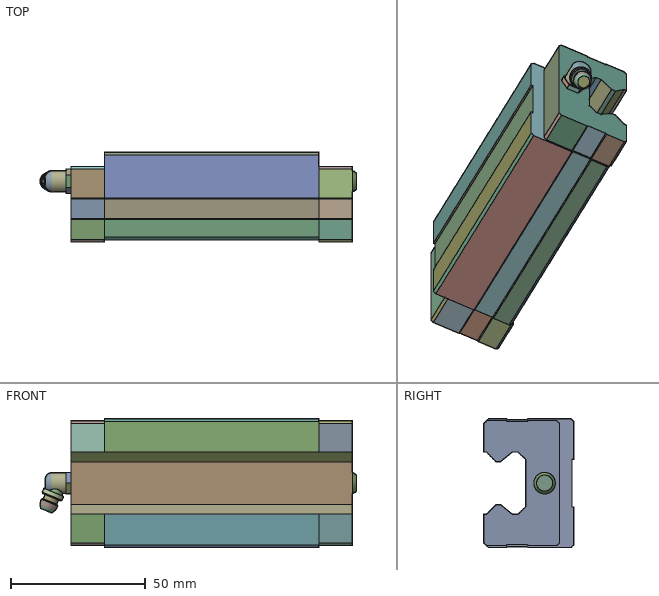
import cadquery as cq
import math


BLOCK_LENGTH = 79.8
BLOCK_HALF_HEIGHT = 24.0
BLOCK_FRONT = 0.8
BLOCK_BACK = 33.5
BLOCK_CHAMFER = 1.05
BACK_RECESS_HALF_HEIGHT = 8.8
BACK_RECESS_DEPTH = 0.65

CAP_LENGTH = 12.4
CAP_HALF_HEIGHT = 23.2
CAP_BACK = 28.2
CAP_CHAMFER = 1.0

SIDE_GROOVE_FRONT = 8.4
SIDE_GROOVE_BACK = 16.5
SIDE_GROOVE_DEPTH = 0.35

CHANNEL_FLOOR = 15.6
CHANNEL_FLOOR_HALF_HEIGHT = 8.8
CHANNEL_WIDE_HALF_HEIGHT = 11.5
CHANNEL_NARROW_HALF_HEIGHT = 7.95
VALLEY_BACK = 12.75
VALLEY_FRONT = 10.6
RIDGE_BACK = 6.3
RIDGE_FRONT = 4.6
MOUTH_BACK = 1.05

PORT_Y = 22.65
HEX_ACROSS_FLATS = 8.0
HEX_THICKNESS = 1.8
ELBOW_DIAMETER = 7.85
ELBOW_REACH = 9.6
ELBOW_ROUNDING = 2.5
SPOUT_PIVOT = 4.96
SPOUT_TILT = 22.5

ROOT_DIAMETER = 6.6
COLLAR_DIAMETER = 8.0
COLLAR_START = 3.7
COLLAR_END = 5.3
COLLAR_CHAMFER = 0.4
NECK_DIAMETER = 5.5
HEAD_DIAMETER = 6.6
HEAD_START = 7.4
HEAD_CHAMFER = 0.4
HEAD_BULGE_RADIUS = 4.5
SHOULDER_DIAMETER = 5.8
SHOULDER = 10.1
TIP_DIAMETER = 4.5
TIP_END = 11.1

PLUG_DIAMETER = 8.0
PLUG_TIP_DIAMETER = 6.0
PLUG_HEIGHT = 1.55

CAP_FACE_X = BLOCK_LENGTH / 2 + CAP_LENGTH


def extrude_along_x(points, length):
    """Extrude a (Y, Z) outline along X, centred on X = 0."""
    return cq.Workplane("YZ").polyline(points).close().extrude(length / 2, both=True)


def mirrored(upper_points):
    """Close an upper half outline with its mirror image below Z = 0."""
    return upper_points + [(y, -z) for y, z in reversed(upper_points)]


def grooved_side(front, back, half_height, chamfer):
    """Upper side outline from the front face to the back face."""
    groove_bottom = half_height - SIDE_GROOVE_DEPTH
    return [
        (front, half_height - chamfer),
        (front + chamfer, half_height),
        (SIDE_GROOVE_FRONT, half_height),
        (SIDE_GROOVE_FRONT + SIDE_GROOVE_DEPTH, groove_bottom),
        (SIDE_GROOVE_BACK - SIDE_GROOVE_DEPTH, groove_bottom),
        (SIDE_GROOVE_BACK, half_height),
        (back - chamfer, half_height),
        (back, half_height - chamfer),
    ]


def make_block():
    side = grooved_side(BLOCK_FRONT, BLOCK_BACK, BLOCK_HALF_HEIGHT, BLOCK_CHAMFER)
    recess_floor = BLOCK_BACK - BACK_RECESS_DEPTH
    recess = [
        (BLOCK_BACK, BACK_RECESS_HALF_HEIGHT),
        (recess_floor, BACK_RECESS_HALF_HEIGHT),
    ]
    return extrude_along_x(mirrored(side + recess), BLOCK_LENGTH)


def make_caps():
    side = grooved_side(0, CAP_BACK, CAP_HALF_HEIGHT, CAP_CHAMFER)
    cap = extrude_along_x(mirrored(side), CAP_LENGTH)
    offset = (BLOCK_LENGTH + CAP_LENGTH) / 2
    return cap.translate((-offset, 0, 0)).union(cap.translate((offset, 0, 0)))


def make_channel():
    upper = [
        (0, CHANNEL_WIDE_HALF_HEIGHT),
        (MOUTH_BACK, CHANNEL_WIDE_HALF_HEIGHT),
        (RIDGE_FRONT, CHANNEL_NARROW_HALF_HEIGHT),
        (RIDGE_BACK, CHANNEL_NARROW_HALF_HEIGHT),
        (VALLEY_FRONT, CHANNEL_WIDE_HALF_HEIGHT),
        (VALLEY_BACK, CHANNEL_WIDE_HALF_HEIGHT),
        (CHANNEL_FLOOR, CHANNEL_FLOOR_HALF_HEIGHT),
    ]
    return extrude_along_x(mirrored(upper), 2 * CAP_FACE_X)


def make_elbow():
    """Hexagon and rounded cylinder pointing towards -X."""
    face = cq.Workplane("YZ", origin=(-CAP_FACE_X, PORT_Y, 0))
    across_corners = HEX_ACROSS_FLATS / math.cos(math.radians(30))
    hexagon = face.polygon(6, across_corners).extrude(-HEX_THICKNESS)
    cylinder = face.circle(ELBOW_DIAMETER / 2).extrude(-ELBOW_REACH)
    return hexagon.union(cylinder.faces("<X").edges().fillet(ELBOW_ROUNDING))


def make_spout():
    """Turned nipple leaning towards -X as it drops from the elbow."""
    root_radius = ROOT_DIAMETER / 2
    collar_radius = COLLAR_DIAMETER / 2
    neck_radius = NECK_DIAMETER / 2
    head_radius = HEAD_DIAMETER / 2
    stepped_outline = [
        (0, 0),
        (root_radius, 0),
        (root_radius, -COLLAR_START),
        (collar_radius, -COLLAR_START),
        (collar_radius, -COLLAR_END),
        (collar_radius - COLLAR_CHAMFER, -COLLAR_END - COLLAR_CHAMFER),
        (neck_radius, -COLLAR_END - COLLAR_CHAMFER),
        (neck_radius, -HEAD_START),
        (head_radius - HEAD_CHAMFER, -HEAD_START),
        (head_radius, -HEAD_START - HEAD_CHAMFER),
    ]
    profile = (
        cq.Workplane("XZ")
        .polyline(stepped_outline)
        .radiusArc((SHOULDER_DIAMETER / 2, -SHOULDER), HEAD_BULGE_RADIUS)
        .lineTo(TIP_DIAMETER / 2, -TIP_END)
        .lineTo(0, -TIP_END)
        .close()
    )
    spout = profile.revolve(360, (0, 0, 0), (0, 1, 0))
    tilted = spout.rotate((0, 0, 0), (0, 1, 0), SPOUT_TILT)
    return tilted.translate((-CAP_FACE_X - SPOUT_PIVOT, PORT_Y, 0))


def make_plug():
    """Slice of a sphere on the +X cap."""
    base_radius = PLUG_DIAMETER / 2
    tip_radius = PLUG_TIP_DIAMETER / 2
    centre_depth = (base_radius**2 - tip_radius**2 - PLUG_HEIGHT**2) / (2 * PLUG_HEIGHT)
    sphere_radius = math.hypot(base_radius, centre_depth)
    profile = (
        cq.Workplane("XY")
        .lineTo(0, base_radius)
        .radiusArc((PLUG_HEIGHT, tip_radius), sphere_radius)
        .lineTo(PLUG_HEIGHT, 0)
        .close()
    )
    plug = profile.revolve(360, (0, 0, 0), (1, 0, 0))
    return plug.translate((CAP_FACE_X, PORT_Y, 0))


body = make_block().union(make_caps()).cut(make_channel())
result = body.union(make_elbow()).union(make_spout()).union(make_plug())